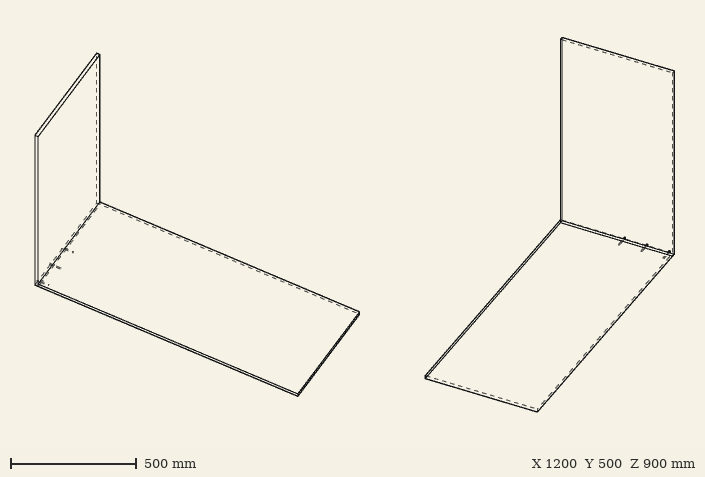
import cadquery as cq

length = 1200
width = 500.0
height = 900

screw_z = 7.5
board = 2 * screw_z

band = 0.3
rear_setback = band

screw_count = 3
screw_spacing = 100.0
first_screw_y = 22.0
head_diameter = 7.0
head_height = 4.0
shank_diameter = 5.0
socket_diameter = 3.5
socket_depth = 2.0
screw_length = 50.0


def box(x_size, y_size, z_size, corner):
    """Box placed by its lowest corner."""
    return cq.Workplane("XY").box(x_size, y_size, z_size, centered=False).translate(corner)


def screw(y):
    """Screw body along X, with a cylindrical head flush with the wall's outer face."""
    start = cq.Workplane("YZ").center(y, screw_z)
    head = start.circle(head_diameter / 2).extrude(head_height)
    shank = start.circle(shank_diameter / 2).extrude(screw_length)
    return head.union(shank)


def socket(y):
    """Blind driver socket in the head of the screw at y."""
    return cq.Workplane("YZ").center(y, screw_z).circle(socket_diameter / 2).extrude(socket_depth)


wall = box(board, width - band, height - band, (0, band, 0))
wall_front_band = box(board, band, height - band, (0, 0, 0))
wall_top_band = box(board, width, band, (0, 0, height - band))

floor_end = length - band
floor_depth = width - rear_setback
floor = box(floor_end - board, floor_depth - band, board, (board, band, 0))
floor_front_band = box(floor_end - board, band, board, (board, 0, 0))
floor_end_band = box(band, floor_depth, board, (floor_end, 0, 0))

screws = []
for i in range(screw_count):
    y = first_screw_y + i * screw_spacing
    blank = screw(y)
    wall = wall.cut(blank)
    floor = floor.cut(blank)
    screws.append(blank.cut(socket(y)))

result = cq.Compound.makeCompound([
    wall.val(),
    wall_front_band.val(),
    wall_top_band.val(),
    floor.val(),
    floor_front_band.val(),
    floor_end_band.val(),
    *[fastener.val() for fastener in screws],
])